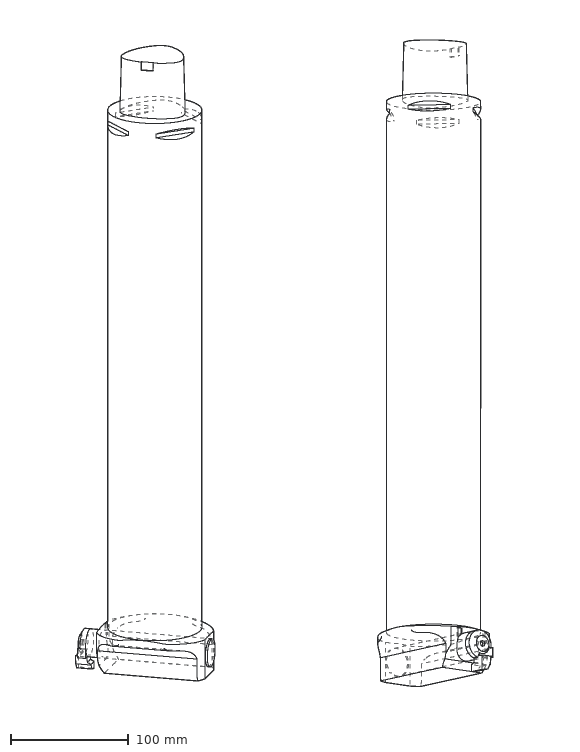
import cadquery as cq
import math

TOTAL_HEIGHT = 548.0
SHANK_TOP = 499.0
SHANK_BOTTOM = 41.5
SHANK_RADIUS = 80.0 / 2

LOBE_COUNT = 3
LOBE_PITCH = 360 / LOBE_COUNT
LOBE_REACH = 30.0
LOBE_RADIUS = 14.0
SIDE_REACH = 25.0
COUPLING_TAPER = 1.43
NOTCH_WIDTH = 10.5
NOTCH_HEIGHT = 7.0
NOTCH_FLOOR = 22.5

GROOVE_COUNT = 4
GROOVE_LEVEL = 488.0
GROOVE_DEPTH = 4.5
GROOVE_FLOOR_HEIGHT = 3.5
GROOVE_MOUTH_HEIGHT = 9.0

HEAD_BOTTOM = 4.0
HEAD_WIDTH = 81.0
END_RADIUS = 42.0
END_CENTER = 8.0
HEAD_LEFT = -46.0
HEAD_RIGHT = 48.0
SHOULDER_DROP = 0.4
SHOULDER_SPAN = 1.2
WEB_HALF_WIDTH = 22.5
WEB_TOP = 23.5
UNDERCUT_TOP = 33.5
UNDERCUT_MID_Y = 27.5
UNDERCUT_MID_Z = 30.0
EDGE_ROUND = 3.5
BOTTOM_BEVEL_HEIGHT = 3.5
BOTTOM_BEVEL_DEPTH = 0.8
LEFT_SLOPE_TOP = 22.5
LEFT_BEVEL_TOP = 10.5
LEFT_SLOPE_X = -43.0
LEFT_BEVEL_X = -38.5
RELIEF_WIDTH = 4.1
RELIEF_Y = 9.0
RELIEF_TOP = 38.5
RELIEF_DEPTH = 1.0

ROD_RADIUS = 24.0 / 2
ROD_LEVEL = 23.0
ROD_RIGHT = 50.0
INSERT_BACK = -57.5
INSERT_RIM = -62.5
INSERT_FACE = -66.0
INSERT_FACE_RADIUS = 13.5 / 2
CENTER_HOLE_RADIUS = 4.65 / 2
CENTER_HOLE_DEPTH = 3.0

TOOTH_TIP_X = -68.0
TOOTH_FRONT_X = -64.5
TOOTH_HEEL_X = -54.0
TOOTH_TOP = 21.0
TOOTH_LIP_TOP = 12.5
TOOTH_HEEL_TOP = 7.5
TOOTH_HEEL_EDGE = 6.0
TOOTH_LEFT_Y = 3.0
TOOTH_ROOT_Y = -ROD_RADIUS
TOOTH_RIGHT_Y = -7.5
TOOTH_SHOULDER = (-6.5, 5.5)
TOOTH_CORNER = (-4.0, 1.0)


def polar(radius, angle):
    """Point (x, y) at a radius and an angle in degrees."""
    return (radius * math.cos(math.radians(angle)), radius * math.sin(math.radians(angle)))


def make_coupling():
    """Three lobes joined by tangent shallow side arcs, narrowing upwards, with a key notch."""
    lobe_center = LOBE_REACH - LOBE_RADIUS
    half_gap, center_drop = polar(lobe_center, LOBE_PITCH / 4)
    side_offset = SIDE_REACH - center_drop
    side_radius = (half_gap**2 + side_offset**2 - LOBE_RADIUS**2) / (2 * (side_offset - LOBE_RADIUS))
    side_sweep = math.degrees(math.asin(half_gap / (side_radius - LOBE_RADIUS)))
    joint_half_width = side_radius * math.sin(math.radians(side_sweep))
    joint_depth = SIDE_REACH - side_radius * (1 - math.cos(math.radians(side_sweep)))
    joint_reach = math.hypot(joint_half_width, joint_depth)
    joint_angle = math.degrees(math.atan2(joint_half_width, joint_depth))

    first_lobe = 90
    outline = cq.Workplane("XY", origin=(0, 0, SHANK_TOP)).moveTo(
        *polar(joint_reach, first_lobe - LOBE_PITCH / 2 + joint_angle)
    )
    for i in range(LOBE_COUNT):
        lobe_angle = first_lobe + i * LOBE_PITCH
        side_angle = lobe_angle + LOBE_PITCH / 2
        outline = outline.threePointArc(
            polar(LOBE_REACH, lobe_angle), polar(joint_reach, side_angle - joint_angle)
        )
        outline = outline.threePointArc(
            polar(SIDE_REACH, side_angle), polar(joint_reach, side_angle + joint_angle)
        )
    coupling = outline.close().extrude(TOTAL_HEIGHT - SHANK_TOP, taper=COUPLING_TAPER)
    notch = (
        cq.Workplane("XZ", origin=(0, -NOTCH_FLOOR, TOTAL_HEIGHT))
        .rect(NOTCH_WIDTH, 2 * NOTCH_HEIGHT)
        .extrude(SIDE_REACH)
    )
    return coupling.cut(notch)


def make_groove():
    """Cutter for one straight trapezoidal groove across the +X side of the shank."""
    floor = SHANK_RADIUS - GROOVE_DEPTH
    half_floor = GROOVE_FLOOR_HEIGHT / 2
    half_mouth = GROOVE_MOUTH_HEIGHT / 2
    return (
        cq.Workplane("XZ", origin=(0, 0, GROOVE_LEVEL))
        .polyline([
            (floor, -half_floor),
            (SHANK_RADIUS, -half_mouth),
            (SHANK_RADIUS, half_mouth),
            (floor, half_floor),
        ])
        .close()
        .extrude(SHANK_RADIUS, both=True)
    )


def make_shank():
    """Long round shank with gripper grooves on the diagonals."""
    shank = cq.Workplane("XY", origin=(0, 0, SHANK_BOTTOM)).circle(SHANK_RADIUS).extrude(
        SHANK_TOP - SHANK_BOTTOM
    )
    pitch = 360 / GROOVE_COUNT
    for i in range(GROOVE_COUNT):
        shank = shank.cut(make_groove().rotate((0, 0, 0), (0, 0, 1), (i + 0.5) * pitch))
    return shank


def make_undercut(side):
    """Cutter that narrows the head to a web on the +Y (side=1) or -Y (side=-1) face."""
    half_width = HEAD_WIDTH / 2
    outside = HEAD_WIDTH
    arc_end_y = half_width - EDGE_ROUND
    round_turn = EDGE_ROUND * math.sqrt(0.5)
    round_mid = (arc_end_y + round_turn, UNDERCUT_TOP + EDGE_ROUND - round_turn)
    return (
        cq.Workplane("YZ")
        .moveTo(side * (WEB_HALF_WIDTH - BOTTOM_BEVEL_DEPTH), HEAD_BOTTOM)
        .lineTo(side * WEB_HALF_WIDTH, HEAD_BOTTOM + BOTTOM_BEVEL_HEIGHT)
        .lineTo(side * WEB_HALF_WIDTH, WEB_TOP)
        .threePointArc((side * UNDERCUT_MID_Y, UNDERCUT_MID_Z), (side * arc_end_y, UNDERCUT_TOP))
        .threePointArc((side * round_mid[0], round_mid[1]), (side * half_width, UNDERCUT_TOP + EDGE_ROUND))
        .lineTo(side * outside, UNDERCUT_TOP + EDGE_ROUND)
        .lineTo(side * outside, HEAD_BOTTOM)
        .close()
        .extrude(2 * HEAD_RIGHT, both=True)
    )


def make_head():
    """Oblong head: rounded ends, sloping shoulder, bevelled -X end and undercut sides."""
    height = SHANK_BOTTOM - HEAD_BOTTOM
    base = cq.Workplane("XY", origin=(0, 0, HEAD_BOTTOM))
    head = base.rect(4 * END_RADIUS, HEAD_WIDTH).extrude(height)
    ends = base.rect(2 * END_CENTER, 2 * END_RADIUS).extrude(height)
    for center in (-END_CENTER, END_CENTER):
        ends = ends.union(base.center(center, 0).circle(END_RADIUS).extrude(height))
    head = head.intersect(ends)

    end_profile = (
        cq.Workplane("XZ")
        .polyline([
            (LEFT_BEVEL_X, HEAD_BOTTOM),
            (HEAD_RIGHT, HEAD_BOTTOM),
            (HEAD_RIGHT, SHANK_BOTTOM),
            (HEAD_LEFT, SHANK_BOTTOM),
            (HEAD_LEFT, LEFT_SLOPE_TOP),
            (LEFT_SLOPE_X, LEFT_BEVEL_TOP),
        ])
        .close()
        .extrude(HEAD_WIDTH, both=True)
    )
    head = head.intersect(end_profile)

    slope = SHOULDER_DROP / SHOULDER_SPAN
    cone_radius = 2 * SHANK_RADIUS
    cone_edge = SHANK_BOTTOM - slope * (cone_radius - SHANK_RADIUS)
    shoulder = (
        cq.Workplane("XZ")
        .polyline([
            (0, HEAD_BOTTOM),
            (cone_radius, HEAD_BOTTOM),
            (cone_radius, cone_edge),
            (SHANK_RADIUS, SHANK_BOTTOM),
            (0, SHANK_BOTTOM),
        ])
        .close()
        .revolve(360, (0, 0), (0, 1))
    )
    head = head.intersect(shoulder)
    for side in (-1, 1):
        head = head.cut(make_undercut(side))

    relief = cq.Workplane("XY").box(
        2 * RELIEF_DEPTH, RELIEF_WIDTH, RELIEF_TOP - ROD_LEVEL, centered=(True, True, False)
    ).translate((HEAD_LEFT, RELIEF_Y, ROD_LEVEL))
    return head.cut(relief)


def make_rod():
    """Round tool holder lying along X through the head."""
    return (
        cq.Workplane("YZ", origin=(INSERT_BACK, 0, ROD_LEVEL))
        .circle(ROD_RADIUS)
        .extrude(ROD_RIGHT - INSERT_BACK)
    )


def make_bar():
    """Coupling, shank and head in one piece, bored for the tool holder."""
    return make_shank().union(make_coupling()).union(make_head()).cut(make_rod())


def make_tooth():
    """Downward cutting tooth: hooked side profile, wide at its root and trimmed to a pointed end."""
    profile = (
        cq.Workplane("XZ")
        .polyline([
            (TOOTH_FRONT_X, TOOTH_TOP),
            (INSERT_BACK, TOOTH_TOP),
            (INSERT_BACK, TOOTH_HEEL_TOP),
            (TOOTH_HEEL_X, TOOTH_HEEL_EDGE),
            (TOOTH_HEEL_X, 0),
            (TOOTH_TIP_X, 0),
            (TOOTH_TIP_X, TOOTH_LIP_TOP),
            (TOOTH_FRONT_X, TOOTH_LIP_TOP),
        ])
        .close()
        .extrude(ROD_RADIUS, both=True)
    )
    outline = (
        cq.Workplane("YZ")
        .polyline([
            (TOOTH_LEFT_Y, 0),
            (TOOTH_LEFT_Y, TOOTH_TOP),
            (TOOTH_ROOT_Y, TOOTH_TOP),
            (TOOTH_ROOT_Y, TOOTH_LIP_TOP),
            (TOOTH_RIGHT_Y, TOOTH_LIP_TOP),
            TOOTH_SHOULDER,
            TOOTH_CORNER,
        ])
        .close()
        .extrude(2 * TOOTH_TIP_X, both=True)
    )
    return profile.intersect(outline)


def make_insert():
    """Round insert with a conical front, a central blind hole and the cutting tooth."""
    disc = (
        cq.Workplane("XZ", origin=(0, 0, ROD_LEVEL))
        .polyline([
            (INSERT_BACK, 0),
            (INSERT_BACK, ROD_RADIUS),
            (INSERT_RIM, ROD_RADIUS),
            (INSERT_FACE, INSERT_FACE_RADIUS),
            (INSERT_FACE, 0),
        ])
        .close()
        .revolve(360, (0, 0), (1, 0))
    )
    hole = (
        cq.Workplane("YZ", origin=(INSERT_FACE, 0, ROD_LEVEL))
        .circle(CENTER_HOLE_RADIUS)
        .extrude(CENTER_HOLE_DEPTH)
    )
    return disc.union(make_tooth()).cut(hole)


bar = make_bar()
rod = make_rod()
insert = make_insert()

result = cq.Compound.makeCompound([bar.val(), rod.val(), insert.val()])